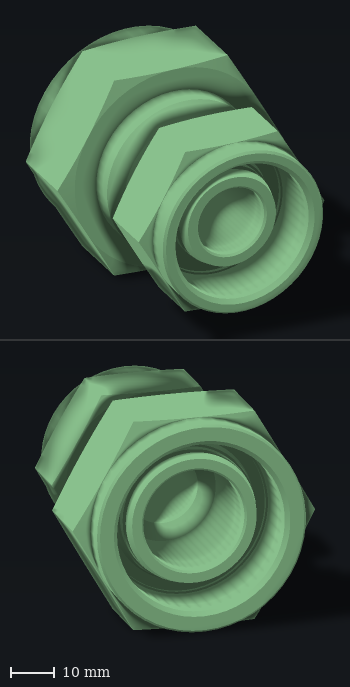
import cadquery as cq
import math

total_length = 60.5

large_across_flats = 50.0
large_collar_radius = 24.85
large_collar_length = 5.55
large_nut_length = 23.95
large_seat_radius = 19.5
large_bore_radius = 12.05

small_across_flats = 40.9
small_collar_radius = 20.4
small_collar_length = 5.55
small_nut_length = 20.65
small_seat_radius = 16.45
small_bore_radius = 8.4

hex_chamfer_angle = 15.0
collar_chamfer = 0.55
pipe_clearance = 0.5
mouth_chamfer_radial = 1.0
mouth_chamfer_depth = 0.95
nut_shoulder_depth = 14.4
body_face_depth = 15.3
insert_depth = 6.2
tip_wall = 2.8
shank_wall = 3.7
barb_height = 0.7
barb_length = 2.7
groove_length = 1.8
insert_bore_chamfer = 0.5
boss_length = 2.4
boss_start_step = 0.55
boss_end_step = 1.15

reducer_start = 29.45
reducer_length = large_seat_radius - small_seat_radius
bore_reduction_angle = 60.0


def revolve_about_x(profile):
    """Turn a closed (x, radius) outline into a solid of revolution about X."""
    return cq.Workplane("XY").polyline(profile).close().revolve(360, (0, 0, 0), (1, 0, 0))


def make_nut(across_flats, collar_radius, collar_length, length, seat_radius):
    """Hex nut with a round collar, its pipe mouth at x = 0 and opening toward -X."""
    corner_radius = across_flats / math.sqrt(3)
    flat_radius = across_flats / 2
    hex_chamfer = (corner_radius - flat_radius) * math.tan(math.radians(hex_chamfer_angle))
    pipe_radius = seat_radius + pipe_clearance
    mouth_radius = pipe_radius + mouth_chamfer_radial

    hexagon = (
        cq.Workplane("YZ", origin=(collar_length, 0, 0))
        .polygon(6, 2 * corner_radius)
        .extrude(length - collar_length)
    )
    corner_rounding = revolve_about_x([
        (collar_length, 0),
        (collar_length, flat_radius),
        (collar_length + hex_chamfer, corner_radius),
        (length - hex_chamfer, corner_radius),
        (length, flat_radius),
        (length, 0),
    ])
    collar = revolve_about_x([
        (0, 0),
        (0, collar_radius - collar_chamfer),
        (collar_chamfer, collar_radius),
        (collar_length, collar_radius),
        (collar_length, 0),
    ])
    opening = revolve_about_x([
        (0, 0),
        (0, mouth_radius),
        (mouth_chamfer_depth, pipe_radius),
        (nut_shoulder_depth, pipe_radius),
        (nut_shoulder_depth, seat_radius),
        (length, seat_radius),
        (length, 0),
    ])
    return hexagon.intersect(corner_rounding).union(collar).cut(opening)


def end_profile(seat_radius, bore_radius):
    """(depth, radius) points of one body end, from the bore out to the seat."""
    tip_radius = bore_radius + tip_wall
    barb_radius = tip_radius + barb_height
    shank_radius = bore_radius + shank_wall
    barb_depth = insert_depth + barb_length
    shank_depth = barb_depth + groove_length
    boss_depth = body_face_depth - boss_length
    return [
        (insert_depth + insert_bore_chamfer, bore_radius),
        (insert_depth, bore_radius + insert_bore_chamfer),
        (insert_depth, tip_radius),
        (barb_depth, barb_radius),
        (barb_depth, tip_radius),
        (shank_depth, tip_radius),
        (shank_depth, shank_radius),
        (boss_depth, shank_radius),
        (boss_depth, shank_radius + boss_start_step),
        (body_face_depth, shank_radius + boss_end_step),
        (body_face_depth, seat_radius),
    ]


def make_body():
    """Turned body: an insert and a nut seat at each end, joined by a conical reduction."""
    reducer_end = reducer_start + reducer_length
    bore_drop = large_bore_radius - small_bore_radius
    bore_taper_end = reducer_start + bore_drop / math.tan(math.radians(bore_reduction_angle))
    large_end = end_profile(large_seat_radius, large_bore_radius)
    small_end = end_profile(small_seat_radius, small_bore_radius)
    small_end_outside_in = [(total_length - depth, radius) for depth, radius in reversed(small_end)]
    outer_reduction = [(reducer_start, large_seat_radius), (reducer_end, small_seat_radius)]
    bore_reduction = [(bore_taper_end, small_bore_radius), (reducer_start, large_bore_radius)]
    return revolve_about_x(large_end + outer_reduction + small_end_outside_in + bore_reduction)


body = make_body()

large_nut = make_nut(
    large_across_flats, large_collar_radius, large_collar_length, large_nut_length, large_seat_radius
)

small_nut = (
    make_nut(
        small_across_flats, small_collar_radius, small_collar_length, small_nut_length, small_seat_radius
    )
    .rotate((0, 0, 0), (0, 0, 1), 180)
    .translate((total_length, 0, 0))
)

result = cq.Compound.makeCompound([body.val(), large_nut.val(), small_nut.val()])